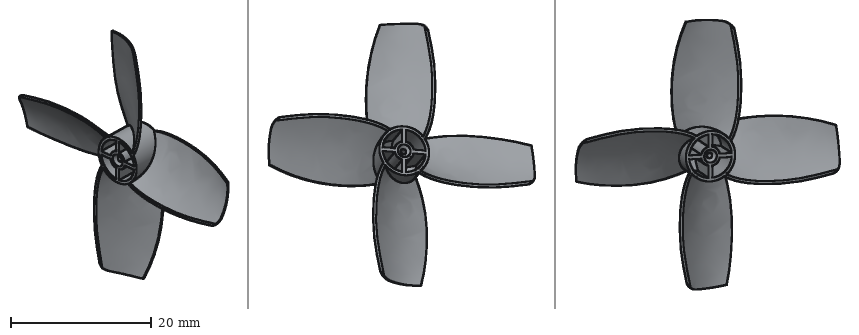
import cadquery as cq

ROTOR_RADIUS = 19.5
BLADE_COUNT = 4

HUB_RADIUS = 3.65
HUB_WALL = 0.5
SKIRT_DEPTH = 5.77
HUB_DEPTH = 8.05
NOSE_BULGE_RADIUS = 2.1
NOSE_BULGE_DEPTH = 7.05
BOSS_RADIUS = 1.4
MOUTH_RADIUS = 0.95
MOUTH_DEPTH = 0.45
SHAFT_HOLE_RADIUS = 0.4
RIB_WIDTH = 0.6

BLADE_THICKNESS = 0.27
LOW_FLAT_WIDTH = 0.45
CAMBER = 0.08

BLADE_SECTIONS = [
    (1.17, -2.9, 5.93, 2.5),
    (3.9, -3.75, 5.65, 3.85),
    (7.8, -4.35, 4.95, 4.52),
    (11.7, -4.4, 4.3, 4.55),
    (15.6, -3.95, 3.45, 4.1),
    (19.9, -2.8, 2.1, 3.28),
]

CORNER_START = (1.85, 19.42)
CORNER_MIDDLE = (3.0, 18.95)
CORNER_END = (3.6, 18.2)
CLEARANCE = 1.17


def y_cylinder(radius, depth):
    return cq.Workplane("XZ").circle(radius).extrude(-depth)


def domed_body(skirt_radius, top_radius, inset):
    """Solid cylinder with a domed nose, its back surface lowered by the inset."""
    return (
        cq.Workplane("XY")
        .lineTo(skirt_radius, 0)
        .lineTo(skirt_radius, SKIRT_DEPTH - inset)
        .threePointArc(
            (NOSE_BULGE_RADIUS - inset / 2, NOSE_BULGE_DEPTH - inset),
            (top_radius, HUB_DEPTH - inset),
        )
        .lineTo(0, HUB_DEPTH - inset)
        .close()
        .revolve(360, (0, 0, 0), (0, 1, 0))
    )


def make_hub():
    outer = domed_body(HUB_RADIUS, SHAFT_HOLE_RADIUS, 0)
    cavity = domed_body(HUB_RADIUS - HUB_WALL, SHAFT_HOLE_RADIUS, HUB_WALL)
    cavity = cavity.cut(y_cylinder(BOSS_RADIUS, HUB_DEPTH))
    rib = cq.Workplane("XY").box(2 * HUB_RADIUS, HUB_DEPTH, RIB_WIDTH, centered=(True, False, True))
    for angle in (0, 90):
        cavity = cavity.cut(rib.rotate((0, 0, 0), (0, 1, 0), angle))
    return outer.cut(cavity)


def make_shaft_hole():
    """Through hole with a conical mouth at the open face."""
    back = HUB_DEPTH + CLEARANCE
    return (
        cq.Workplane("XY")
        .lineTo(MOUTH_RADIUS, 0)
        .lineTo(SHAFT_HOLE_RADIUS, MOUTH_DEPTH)
        .lineTo(SHAFT_HOLE_RADIUS, back)
        .lineTo(0, back)
        .close()
        .revolve(360, (0, 0, 0), (0, 1, 0))
    )


def blade_section(span, high_x, high_y, low_x):
    """Thin cambered profile whose low edge is cut flat at Y = 0."""
    inner_x = low_x - LOW_FLAT_WIDTH
    inner_y = high_y - BLADE_THICKNESS
    bulge = CAMBER * (low_x - high_x)
    back_middle = ((low_x + high_x) / 2, high_y / 2 + bulge)
    front_middle = ((inner_x + high_x) / 2, inner_y / 2 + bulge)
    return (
        cq.Workplane("XY", origin=(0, 0, span))
        .moveTo(low_x, 0)
        .threePointArc(back_middle, (high_x, high_y))
        .lineTo(high_x, inner_y)
        .threePointArc(front_middle, (inner_x, 0))
        .close()
        .wires()
        .val()
    )


def make_tip_corner():
    outer_x = CORNER_END[0] + CLEARANCE
    outer_z = ROTOR_RADIUS + CLEARANCE
    return (
        cq.Workplane("XZ", origin=(0, -CLEARANCE, 0))
        .moveTo(*CORNER_START)
        .threePointArc(CORNER_MIDDLE, CORNER_END)
        .lineTo(outer_x, CORNER_END[1])
        .lineTo(outer_x, outer_z)
        .lineTo(CORNER_START[0], outer_z)
        .close()
        .extrude(-HUB_DEPTH)
    )


def make_blade():
    sections = [blade_section(*section) for section in BLADE_SECTIONS]
    blade = cq.Workplane(cq.Solid.makeLoft(sections))
    blade = blade.cut(y_cylinder(HUB_RADIUS - HUB_WALL / 2, HUB_DEPTH))
    blade = blade.intersect(y_cylinder(ROTOR_RADIUS, HUB_DEPTH))
    return blade.cut(make_tip_corner())


blade = make_blade()
result = make_hub()
for index in range(BLADE_COUNT):
    result = result.union(blade.rotate((0, 0, 0), (0, 1, 0), index * 360 / BLADE_COUNT))
result = result.cut(make_shaft_hole())